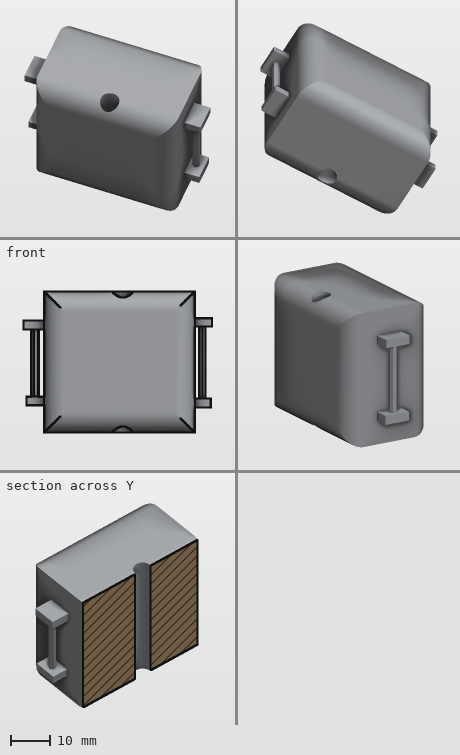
import cadquery as cq

BODY_X = 38.45
BODY_Y = 25.4
BODY_Z = 36.05
EDGE_RADIUS = 5.05

HOLE_DIAMETER = 4.95
HOLE_X = 0.85
HOLE_Y = -8.85

LEFT_BAR_DIAMETER = 2.0
LEFT_BAR_CENTER = (-21.5, 0.3)
LEFT_BAR_ANGLE = 13
RIGHT_BAR_DIAMETER = 1.93
RIGHT_BAR_CENTER = (21.15, 0)
RIGHT_BAR_ANGLE = 30

LEFT_UPPER_LUG = {"tip_x": -24.5, "y": (-3.45, 3.4), "z": (8.25, 10.6)}
LEFT_LOWER_LUG = {"tip_x": -23.75, "y": (-2.8, 3.85), "z": (-11.05, -8.85)}
RIGHT_UPPER_LUG = {"tip_x": 23.65, "y": (-3.55, 3.4), "z": (9.0, 11.2)}
RIGHT_LOWER_LUG = {"tip_x": 23.3, "y": (-3.55, 3.4), "z": (-11.65, -9.3)}


def make_body():
    """Intersect two rounded prisms so the front and back edges meet in mitres."""
    upright = cq.Workplane("XY").box(BODY_X, BODY_Y, BODY_Z).edges("|Z").fillet(EDGE_RADIUS)
    lengthwise = cq.Workplane("XY").box(BODY_X, BODY_Y, BODY_Z).edges("|X").fillet(EDGE_RADIUS)
    return upright.intersect(lengthwise)


def make_lug(lug):
    """Rectangular lug between the nearest side face of the body and its tip."""
    tip_x = lug["tip_x"]
    side_x = BODY_X / 2 if tip_x > 0 else -BODY_X / 2
    y_min, y_max = lug["y"]
    z_min, z_max = lug["z"]
    block = cq.Workplane("XY").box(abs(tip_x - side_x), y_max - y_min, z_max - z_min)
    return block.translate(((tip_x + side_x) / 2, (y_min + y_max) / 2, (z_min + z_max) / 2))


def make_handle(upper_lug, lower_lug, bar_diameter, bar_center, bar_angle):
    """Two lugs joined by a vertical hexagonal bar."""
    bar_bottom = lower_lug["z"][1]
    bar_top = upper_lug["z"][0]
    bar = (
        cq.Workplane("XY")
        .polygon(6, bar_diameter)
        .extrude(bar_top - bar_bottom)
        .rotate((0, 0, 0), (0, 0, 1), bar_angle)
        .translate((*bar_center, bar_bottom))
    )
    return bar.union(make_lug(upper_lug)).union(make_lug(lower_lug))


hole = (
    cq.Workplane("XY")
    .center(HOLE_X, HOLE_Y)
    .circle(HOLE_DIAMETER / 2)
    .extrude(BODY_Z / 2, both=True)
)
left_handle = make_handle(
    LEFT_UPPER_LUG, LEFT_LOWER_LUG, LEFT_BAR_DIAMETER, LEFT_BAR_CENTER, LEFT_BAR_ANGLE
)
right_handle = make_handle(
    RIGHT_UPPER_LUG, RIGHT_LOWER_LUG, RIGHT_BAR_DIAMETER, RIGHT_BAR_CENTER, RIGHT_BAR_ANGLE
)

result = make_body().cut(hole).union(left_handle).union(right_handle)